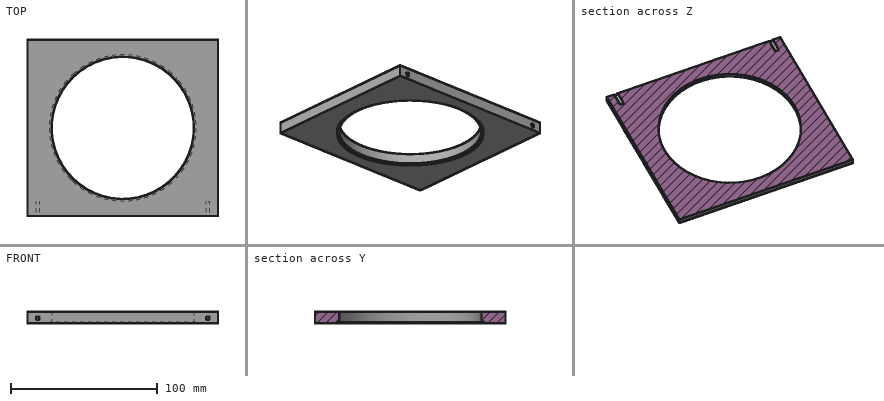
import cadquery as cq

length_x = 130.0
width_y = 120.36
thickness = 8.0

opening_diameter = 96.8
counterbore_diameter = 100.0
counterbore_depth = 1.0

edge_hole_diameter = 2.5
edge_hole_spacing = 116.0
edge_hole_depth = 10.0
edge_hole_height = 3.5


def make_plate():
    """Rectangular plate centred on the Z axis, its underside at Z = 0."""
    return cq.Workplane("XY").box(length_x, width_y, thickness, centered=(True, True, False))


def make_opening():
    """Cutter for the through opening and the wider counterbore below it."""
    through = cq.Workplane("XY").circle(opening_diameter / 2).extrude(thickness)
    counterbore = cq.Workplane("XY").circle(counterbore_diameter / 2).extrude(counterbore_depth)
    return through.union(counterbore)


def make_edge_hole(x):
    """Cutter for one blind hole entering the -Y edge at the given X."""
    hole = cq.Solid.makeCylinder(
        edge_hole_diameter / 2,
        edge_hole_depth,
        cq.Vector(x, -width_y / 2, edge_hole_height),
        cq.Vector(0, 1, 0),
    )
    return cq.Workplane(obj=hole)


result = make_plate().cut(make_opening())
for side in (-1, 1):
    result = result.cut(make_edge_hole(side * edge_hole_spacing / 2))